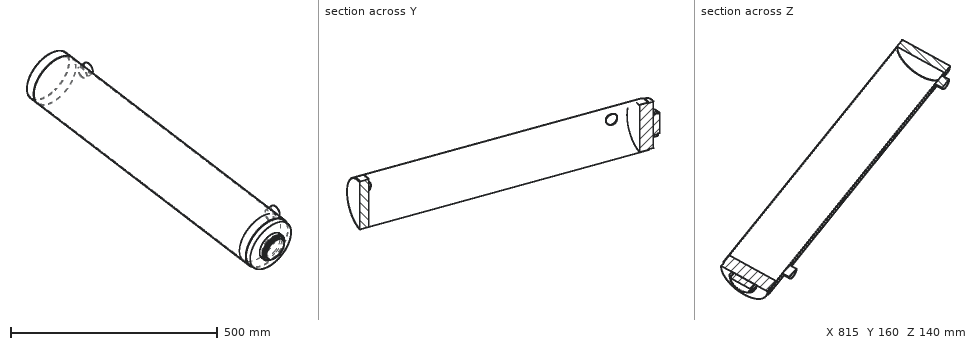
import cadquery as cq

total_length = 815.0
outer_radius = 70.0
wall = 2.5
bore_radius = outer_radius - wall

base_length = 25.0
base_chamfer = 2.0
barrel_end = 784.0
head_end = 798.0
head_insertion = 24.5

collar_radius = 37.0
collar_length = 12.0
collar_chamfer = 2.5
rod_radius = 29.0

port_radius = 15.5
port_reach = 90.0
port_positions = (50.0, 718.0)


def cylinder_x(radius, start, end):
    """Solid cylinder along X between two stations."""
    return cq.Workplane("YZ", origin=(start, 0, 0)).circle(radius).extrude(end - start)


def cylinder_y(radius, x, end):
    """Solid cylinder along +Y from the main axis."""
    return cq.Workplane("XZ", origin=(x, 0, 0)).circle(radius).extrude(-end)


def make_barrel():
    """Thin tube with a round opening for each port."""
    barrel = cylinder_x(outer_radius, base_length, barrel_end)
    barrel = barrel.cut(cylinder_x(bore_radius, base_length, barrel_end))
    for x in port_positions:
        barrel = barrel.cut(cylinder_y(port_radius, x, outer_radius))
    return barrel


def make_base():
    """Solid cap that closes the blind end, with a chamfered rim."""
    base = cylinder_x(outer_radius, 0, base_length)
    return base.faces("<X").edges().chamfer(base_chamfer)


def make_head():
    """Disc that starts inside the barrel and stands out of its open end."""
    head_start = barrel_end - head_insertion
    return cylinder_x(bore_radius, head_start, head_end)


def make_collar():
    """Ring with a chamfered outer edge, seated on the head and bored for the rod."""
    collar_end = head_end + collar_length
    collar = cylinder_x(collar_radius, head_end, collar_end)
    collar = collar.faces(">X").edges().chamfer(collar_chamfer)
    return collar.cut(cylinder_x(rod_radius, head_end, collar_end))


def make_rod():
    """Rod stub that passes through the collar and ends on the head."""
    return cylinder_x(rod_radius, head_end, total_length)


def make_port(x):
    """Round stub through the barrel wall, shaped to the bore at its inner end."""
    port = cylinder_y(port_radius, x, port_reach)
    return port.cut(cylinder_x(bore_radius, x - port_radius, x + port_radius))


barrel = make_barrel()
base = make_base()
head = make_head()
collar = make_collar()
rod = make_rod()
ports = [make_port(x) for x in port_positions]

result = cq.Compound.makeCompound([
    barrel.val(),
    base.val(),
    head.val(),
    collar.val(),
    rod.val(),
    *[port.val() for port in ports],
])